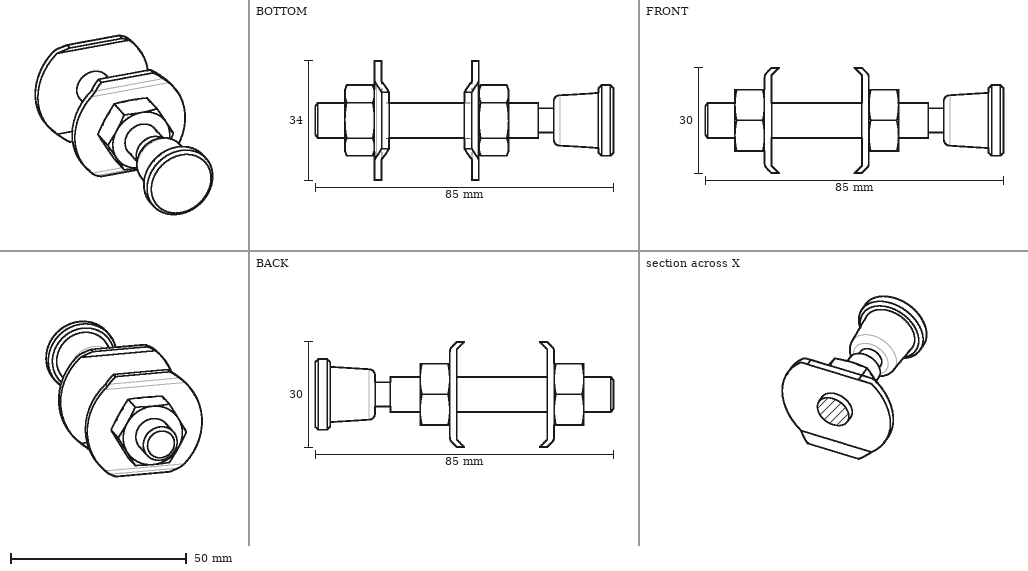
import cadquery as cq
import math

total_length = 85.0

stud_radius = 5.0
stud_length = 63.6
stud_tip_radius = 4.0
stud_tip_chamfer = 0.8
neck_radius = 3.5

bumper_start = 67.9
bumper_nose_radius = 5.4
bumper_shoulder_radius = 7.2
bumper_nose_length = 1.8
bumper_base_radius = 7.9
flange_radius = 10.1
flange_width = 4.3
flange_chamfer = 0.9
flange_start = total_length - flange_width

nut_thickness = 8.4
nut_across_flats = 17.5
nut_corner_radius = nut_across_flats / math.sqrt(3)
nut_chamfer_angle = math.radians(20)

washer_radius = 17.0
washer_height = 30.0
washer_thickness = 2.0
washer_tip_width = 2.1
washer_bend_radius = 1.9
left_washer_face = 16.9
right_washer_face = 46.7


def revolve_about_x(profile):
    """Spin a closed profile, drawn as (X, radius), about the X axis."""
    return profile.revolve(360, (0, 0, 0), (1, 0, 0))


def make_stud():
    profile = (
        cq.Workplane("XZ")
        .lineTo(0, stud_tip_radius)
        .lineTo(stud_tip_chamfer, stud_radius)
        .lineTo(stud_length, stud_radius)
        .lineTo(stud_length, neck_radius)
        .lineTo(flange_start, neck_radius)
        .lineTo(flange_start, 0)
        .close()
    )
    return revolve_about_x(profile)


def make_bumper():
    profile = (
        cq.Workplane("XZ")
        .moveTo(bumper_start, 0)
        .lineTo(bumper_start, bumper_nose_radius)
        .radiusArc((bumper_start + bumper_nose_length, bumper_shoulder_radius), bumper_nose_length)
        .lineTo(flange_start, bumper_base_radius)
        .lineTo(flange_start, flange_radius - flange_chamfer)
        .lineTo(flange_start + flange_chamfer, flange_radius)
        .lineTo(total_length - flange_chamfer, flange_radius)
        .lineTo(total_length, flange_radius - flange_chamfer)
        .lineTo(total_length, 0)
        .close()
    )
    return revolve_about_x(profile)


def make_nut(start):
    """Hex nut with corners along Y and conical chamfers on both faces."""
    hexagon = (
        cq.Workplane("YZ", origin=(start, 0, 0))
        .polygon(6, 2 * nut_corner_radius)
        .extrude(nut_thickness)
    )
    face_radius = nut_across_flats / 2
    chamfer_depth = (nut_corner_radius - face_radius) * math.tan(nut_chamfer_angle)
    end = start + nut_thickness
    envelope = (
        cq.Workplane("XZ")
        .moveTo(start, 0)
        .lineTo(start, face_radius)
        .lineTo(start + chamfer_depth, nut_corner_radius)
        .lineTo(end - chamfer_depth, nut_corner_radius)
        .lineTo(end, face_radius)
        .lineTo(end, 0)
        .close()
    )
    return hexagon.intersect(revolve_about_x(envelope))


def make_washer(face, bend_direction):
    """Washer with its flat outer face at X = face, bent toward bend_direction along X."""
    half_height = washer_height / 2
    diagonal = math.sin(math.radians(45))
    arc_depth = washer_bend_radius * (1 - diagonal)
    arc_end_height = half_height - (washer_thickness - arc_depth)
    bend_start_height = arc_end_height - washer_bend_radius * diagonal
    inner_corner_height = half_height - washer_tip_width

    def at(depth, height):
        return (face + bend_direction * depth, height)

    half_bend_angle = math.radians(22.5)
    arc_middle = at(
        washer_bend_radius * (1 - math.cos(half_bend_angle)),
        bend_start_height + washer_bend_radius * math.sin(half_bend_angle),
    )
    upper_half = (
        cq.Workplane("XZ", origin=(0, washer_radius, 0))
        .moveTo(*at(0, 0))
        .lineTo(*at(0, bend_start_height))
        .threePointArc(arc_middle, at(arc_depth, arc_end_height))
        .lineTo(*at(washer_thickness, half_height))
        .lineTo(*at(washer_thickness + washer_tip_width, half_height))
        .lineTo(*at(washer_thickness, inner_corner_height))
        .lineTo(*at(washer_thickness, 0))
        .close()
        .extrude(2 * washer_radius)
    )
    sheet = upper_half.union(upper_half.mirror("XY"))
    disc = cq.Workplane("YZ").circle(washer_radius).extrude(total_length)
    return sheet.intersect(disc)


result = (
    make_stud()
    .union(make_bumper())
    .union(make_nut(left_washer_face - nut_thickness))
    .union(make_washer(left_washer_face, 1))
    .union(make_washer(right_washer_face, -1))
    .union(make_nut(right_washer_face))
)